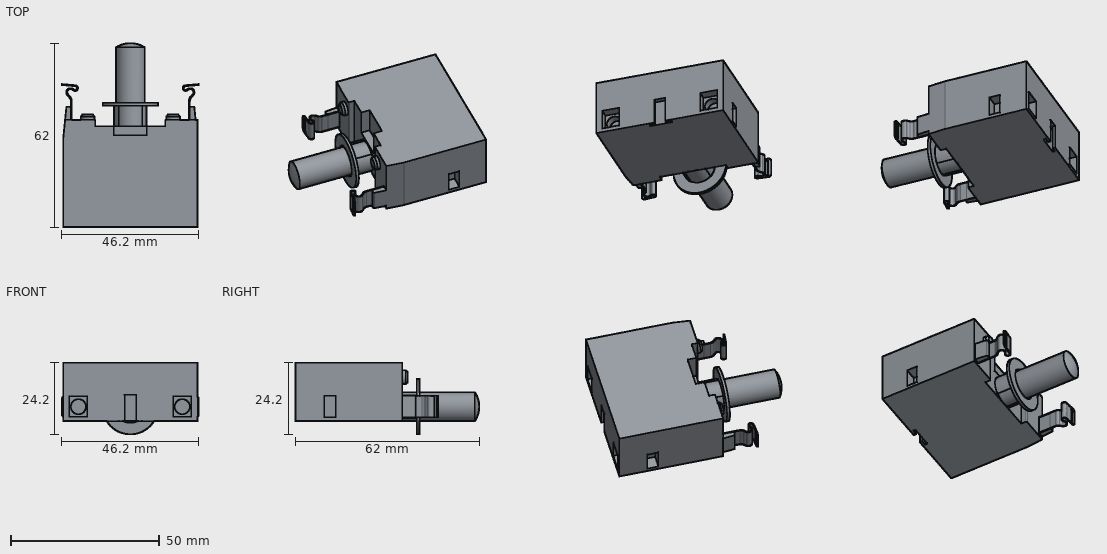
import cadquery as cq
import math


housing_width = 45.25
housing_length = 36.1
housing_top = 14.8
housing_bottom = -4.9
housing_height = housing_top - housing_bottom
half_width = housing_width / 2
taper_start = 30.0
side_lean = 0.1

rear_notch_width = 23.5
rear_notch_depth = 2.1
rear_notch_rounding = 0.3
rear_face = housing_length - rear_notch_depth
top_recess_length = 3.05
top_recess_depth = 9.3

terminal_offset = 17.5
terminal_width = 6.1
terminal_height = 6.95
terminal_depth = 3.4
wire_hole_radius = 2.55
wire_hole_depth = 3.1
front_slot_width = 3.9
front_slot_top = 4.1
front_slot_depth = 0.9
slot_chamber_width = 2 * front_slot_width
slot_chamber_end = 1.75
side_pocket_start = 9.75
side_pocket_length = 3.85
side_pocket_depth = 4.35

clip_width = 7.2
clip_thickness = 0.4
clip_offset = 19.9
clip_stretches = [
    (6.45, 0),
    (1.8, 42),
    (1.1, 0),
    (1.25, -165),
    (0.55, 0),
    (0.8, 208),
    (4.6, 0),
]
clip_corner_radius = 1.1
window_width = 0.85
window_height = 5.45
window_offset = 1.55
lug_end = 40.55
lug_inner = clip_offset + clip_thickness / 2
lug_corner_radius = 0.3

plunger_radius = 4.9
plunger_end = 62.0
dome_height = 1.5
wing_radius = 5.5
wing_inner = 3.95
washer_radius = 9.35
washer_hole_radius = 5.4
washer_start = 40.85
washer_thickness = 1.05

screw_offset = 14.4
screw_z = 9.9
screw_radius = 2.35
screw_top_radius = 1.75
screw_rim_height = 1.05
screw_height = 1.85


def block(x_range, y_range, z_range):
    """Axis-aligned box between pairs of coordinates."""
    size = [high - low for low, high in (x_range, y_range, z_range)]
    corner = (x_range[0], y_range[0], z_range[0])
    return cq.Workplane("XY").box(*size, centered=False).translate(corner)


def cylinder(radius, y_start, y_end, x=0, z=0):
    """Cylinder along Y between two Y positions."""
    axis_start = cq.Vector(x, y_start, z)
    return cq.Workplane(cq.Solid.makeCylinder(radius, y_end - y_start, axis_start, cq.Vector(0, 1, 0)))


def mirrored(body):
    """Copy of a body on the other side of the YZ plane."""
    return body.mirror("YZ")


def leaning_side(y):
    """X of the leaning part of the left side at a given Y."""
    return -half_width + side_lean * (y - taper_start)


def make_lug():
    """Finger on the left of the rear face, its outer side leaning in."""
    outline = [
        (leaning_side(housing_length), housing_length),
        (leaning_side(lug_end), lug_end),
        (-lug_inner, lug_end),
        (-lug_inner, housing_length),
    ]
    lug = cq.Workplane("XY").polyline(outline).close().extrude(clip_width / 2, both=True)
    return lug.edges("|Z and >Y").fillet(lug_corner_radius)


def make_front_terminal():
    """Rectangular wire entry with a round hole in its floor, on the left."""
    entry = block(
        (-terminal_offset - terminal_width / 2, -terminal_offset + terminal_width / 2),
        (0, terminal_depth),
        (-terminal_height / 2, terminal_height / 2),
    )
    hole = cylinder(wire_hole_radius, terminal_depth, terminal_depth + wire_hole_depth, x=-terminal_offset)
    return entry.union(hole)


def make_side_pocket():
    """Rectangular pocket in the left side."""
    return block(
        (-half_width, -half_width + side_pocket_depth),
        (side_pocket_start, side_pocket_start + side_pocket_length),
        (-clip_width / 2, clip_width / 2),
    )


def cut_rear_notch(body):
    """Full-height notch in the rear face, its two outer corners rounded."""
    half_notch = rear_notch_width / 2
    notch = block((-half_notch, half_notch), (rear_face, housing_length), (housing_bottom, housing_top))
    margin = rear_notch_rounding
    outer_corners = cq.selectors.BoxSelector(
        (-half_notch - margin, housing_length - margin, housing_bottom - margin),
        (half_notch + margin, housing_length + margin, housing_top + margin),
    )
    return body.cut(notch).edges("|Z").edges(outer_corners).fillet(rear_notch_rounding)


def make_housing():
    """Block with a rear notch, pockets on its front and sides, and two rear lugs."""
    outline = [
        (-half_width, 0),
        (half_width, 0),
        (half_width, housing_length),
        (leaning_side(housing_length), housing_length),
        (-half_width, taper_start),
    ]
    body = cq.Workplane("XY").workplane(offset=housing_bottom).polyline(outline).close().extrude(housing_height)

    body = cut_rear_notch(body)
    top_recess = block(
        (-wing_radius, wing_radius),
        (rear_face - top_recess_length, rear_face),
        (housing_top - top_recess_depth, housing_top),
    )
    front_slot = block(
        (-front_slot_width / 2, front_slot_width / 2),
        (0, front_slot_depth),
        (housing_bottom, front_slot_top),
    )
    slot_chamber = block(
        (-slot_chamber_width / 2, slot_chamber_width / 2),
        (front_slot_depth, slot_chamber_end),
        (housing_bottom, front_slot_top),
    )
    body = body.cut(top_recess).cut(front_slot).cut(slot_chamber)

    for pocket in (make_front_terminal(), make_side_pocket()):
        body = body.cut(pocket).cut(mirrored(pocket))
    lug = make_lug()
    return body.union(lug).union(mirrored(lug))


def make_plunger():
    """Domed round plunger with a raised wing along each side behind the washer."""
    shoulder = plunger_end - dome_height
    profile = (
        cq.Workplane("XY")
        .moveTo(0, rear_face)
        .lineTo(plunger_radius, rear_face)
        .lineTo(plunger_radius, shoulder)
    )
    dome_radius = (plunger_radius**2 + dome_height**2) / (2 * dome_height)
    middle_x = plunger_radius / 2
    dome_centre = plunger_end - dome_radius
    dome_middle = (middle_x, dome_centre + math.sqrt(dome_radius**2 - middle_x**2))
    shaft = profile.threePointArc(dome_middle, (0, plunger_end)).close().revolve(360, (0, 0), (0, 1))

    wings = cylinder(wing_radius, rear_face, washer_start)
    gap = block((-wing_inner, wing_inner), (rear_face, washer_start), (-wing_radius, wing_radius))
    return shaft.union(wings.cut(gap))


def make_washer():
    """Flat ring around the plunger, resting against the wings."""
    washer_end = washer_start + washer_thickness
    disc = cylinder(washer_radius, washer_start, washer_end)
    return disc.cut(cylinder(washer_hole_radius, washer_start, washer_end))


def make_screw(x):
    """Screw head standing on the rear face, with a conical rim."""
    rim_end = housing_length + screw_rim_height
    rim = cylinder(screw_radius, housing_length, rim_end, x, screw_z)
    cone = cq.Solid.makeCone(
        screw_radius,
        screw_top_radius,
        screw_height - screw_rim_height,
        cq.Vector(x, rim_end, screw_z),
        cq.Vector(0, 1, 0),
    )
    return rim.union(cq.Workplane(cone))


def moved(pose, length, angle):
    """Pose reached from (x, y, heading) over a bend of the given angle, or straight when it is zero."""
    x, y, heading = pose
    if angle:
        length = 2 * length * math.sin(abs(angle) / 2)
    chord = heading + angle / 2
    return (x + length * math.cos(chord), y + length * math.sin(chord), heading + angle)


def beside(pose, distance):
    """Point at a distance to the left of a pose."""
    x, y, heading = pose
    return (x - distance * math.sin(heading), y + distance * math.cos(heading))


def make_left_clip():
    """Bent strip of constant thickness with a rounded, slotted free end."""
    pose = (-clip_offset, housing_length, math.pi / 2)
    stretches = []
    for length, degrees in clip_stretches:
        angle = math.radians(degrees)
        middle = moved(pose, length, angle / 2)
        end = moved(pose, length, angle)
        stretches.append((degrees != 0, pose, middle, end))
        pose = end

    half = clip_thickness / 2
    outline = cq.Workplane("XY").moveTo(*beside(stretches[0][1], half))
    for bent, _, middle, end in stretches:
        if bent:
            outline = outline.threePointArc(beside(middle, half), beside(end, half))
        else:
            outline = outline.lineTo(*beside(end, half))
    outline = outline.lineTo(*beside(pose, -half))
    for bent, start, middle, _ in reversed(stretches):
        if bent:
            outline = outline.threePointArc(beside(middle, -half), beside(start, -half))
        else:
            outline = outline.lineTo(*beside(start, -half))
    strip = outline.close().extrude(clip_width / 2, both=True)

    tip_x, tip_y, _ = pose
    strip = strip.faces("<X").edges("not |Z").fillet(clip_corner_radius)
    window_x = tip_x + window_offset
    window = block(
        (window_x - window_width / 2, window_x + window_width / 2),
        (tip_y - 2 * clip_thickness, tip_y + clip_thickness),
        (-window_height / 2, window_height / 2),
    )
    return strip.cut(window)


housing = make_housing()
plunger = make_plunger()
washer = make_washer()
left_clip = make_left_clip()
clips = [left_clip, mirrored(left_clip)]
screws = [make_screw(side * screw_offset) for side in (-1, 1)]

result = cq.Compound.makeCompound(
    [
        housing.val(),
        plunger.val(),
        washer.val(),
        *[clip.val() for clip in clips],
        *[screw.val() for screw in screws],
    ]
)